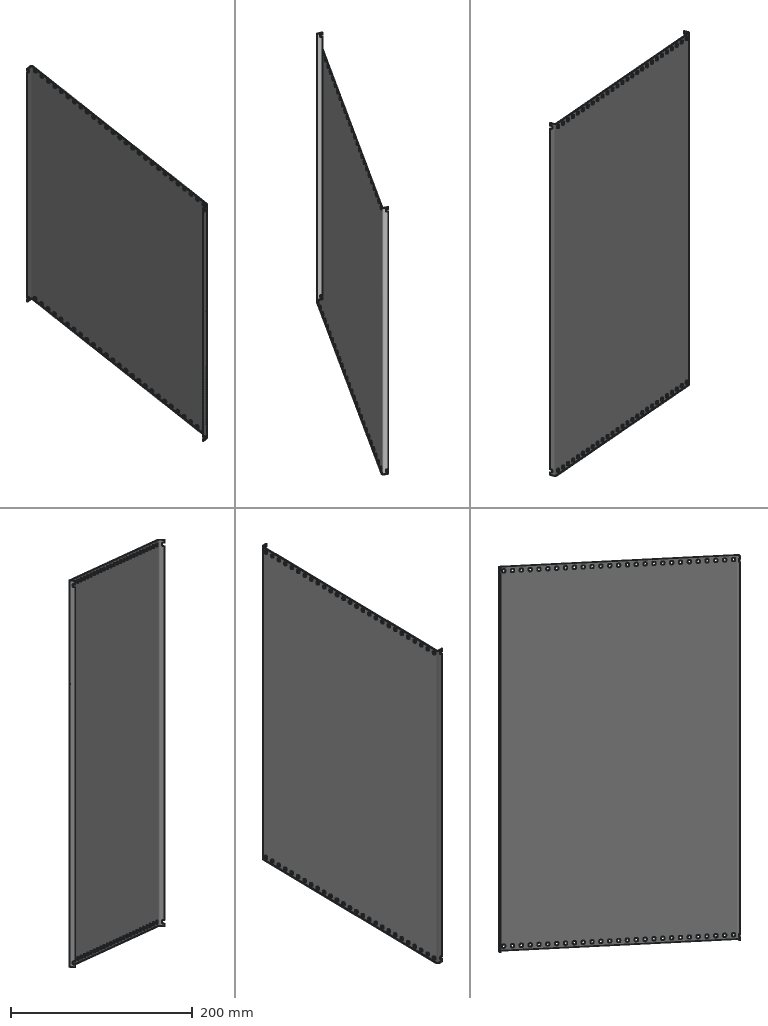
import cadquery as cq

width = 272.0
depth = 7.5
height = 431.5

sheet = 0.9
outer_radius = 2.5
inner_radius = outer_radius - sheet

hole_count = 27
hole_row_length = 259.8
hole_pitch = hole_row_length / (hole_count - 1)
hole_diameter = 4.0
hole_edge_distance = hole_pitch / 2

notch_width = hole_diameter
notch_depth = 3.0

front = -depth / 2
back = depth / 2
row_height = height / 2 - hole_edge_distance


def make_channel():
    """Back sheet with a flange bent toward -Y along each long side."""
    outside = (
        cq.Workplane("XY")
        .box(width, depth, height)
        .edges("|Z and >Y")
        .fillet(outer_radius)
    )
    inside = (
        cq.Workplane("XY")
        .box(width - 2 * sheet, depth, height)
        .edges("|Z and >Y")
        .fillet(inner_radius)
        .translate((0, -sheet, 0))
    )
    return outside.cut(inside)


def make_holes():
    """Cutters for both rows of holes through the back sheet."""
    return (
        cq.Workplane("XZ", origin=(0, back, 0))
        .rarray(hole_pitch, 2 * row_height, hole_count, 2)
        .circle(hole_diameter / 2)
        .extrude(depth)
    )


def make_notches(middle):
    """Cutter for the notches of both flanges, centred at height `middle`."""
    radius = notch_width / 2
    floor = front + notch_depth
    round_start = floor - radius
    return (
        cq.Workplane("YZ")
        .moveTo(front, middle - radius)
        .lineTo(round_start, middle - radius)
        .threePointArc((floor, middle), (round_start, middle + radius))
        .lineTo(front, middle + radius)
        .close()
        .extrude(width / 2, both=True)
    )


result = make_channel().cut(make_holes())
for notch_height in (-row_height, row_height):
    result = result.cut(make_notches(notch_height))